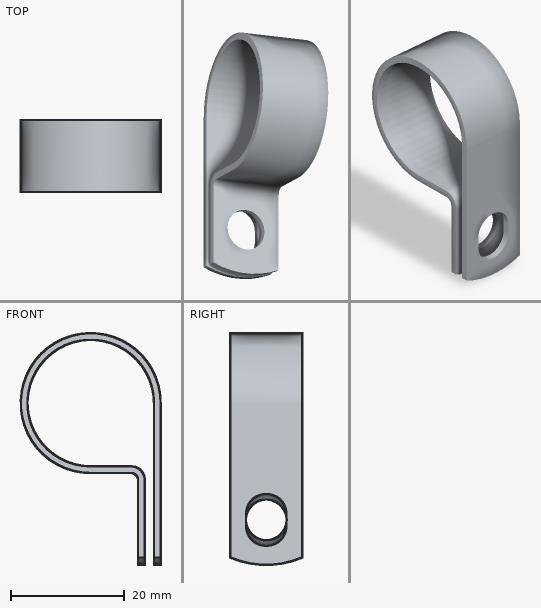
import cadquery as cq

overall_length = 24.66
overall_height = 40.83

width = 12.7
thickness = 1.22

outer_radius = overall_length / 2
inner_radius = outer_radius - thickness

leg_drop = overall_height - outer_radius
leg_gap = 1.57
bend_inner_radius = thickness
bend_outer_radius = bend_inner_radius + thickness
tip_rise = 1.32

hole_diameter = 7.14
slot_length = 9.14
hole_height = 7.94

leg_bottom = -leg_drop
short_leg_right = inner_radius - leg_gap
short_leg_left = short_leg_right - thickness
bend_x = short_leg_right - bend_outer_radius
bend_z = -inner_radius - bend_outer_radius
half_width = width / 2


def make_strip():
    """Bent strip: long leg, three-quarter loop, flat shelf, bend and short leg."""
    profile = (
        cq.Workplane("XZ")
        .moveTo(outer_radius, leg_bottom)
        .lineTo(outer_radius, 0)
        .radiusArc((0, outer_radius), -outer_radius)
        .radiusArc((-outer_radius, 0), -outer_radius)
        .radiusArc((0, -outer_radius), -outer_radius)
        .lineTo(bend_x, -outer_radius)
        .radiusArc((short_leg_left, bend_z), bend_inner_radius)
        .lineTo(short_leg_left, leg_bottom)
        .lineTo(short_leg_right, leg_bottom)
        .lineTo(short_leg_right, bend_z)
        .radiusArc((bend_x, -inner_radius), -bend_outer_radius)
        .lineTo(0, -inner_radius)
        .radiusArc((-inner_radius, 0), inner_radius)
        .radiusArc((0, inner_radius), inner_radius)
        .radiusArc((inner_radius, 0), inner_radius)
        .lineTo(inner_radius, leg_bottom)
        .close()
    )
    return profile.extrude(half_width, both=True)


def make_side_envelope():
    """Outline across the strip width, with the arc that rounds the leg ends."""
    return (
        cq.Workplane("YZ")
        .moveTo(-half_width, outer_radius)
        .lineTo(-half_width, leg_bottom + tip_rise)
        .threePointArc((0, leg_bottom), (half_width, leg_bottom + tip_rise))
        .lineTo(half_width, outer_radius)
        .close()
        .extrude(outer_radius, both=True)
    )


def opening_plane(start_x):
    """Workplane across X, centred on the bolt axis and starting at start_x."""
    return (
        cq.Workplane("YZ")
        .workplane(offset=start_x)
        .center(0, leg_bottom + hole_height)
    )


def make_bolt_hole():
    """Round hole through the short leg."""
    return opening_plane(short_leg_left).circle(hole_diameter / 2).extrude(thickness)


def make_bolt_slot():
    """Upright slot through the long leg."""
    upright = 90
    return opening_plane(inner_radius).slot2D(slot_length, hole_diameter, upright).extrude(thickness)


clamp = make_strip().intersect(make_side_envelope())
result = clamp.cut(make_bolt_hole()).cut(make_bolt_slot())